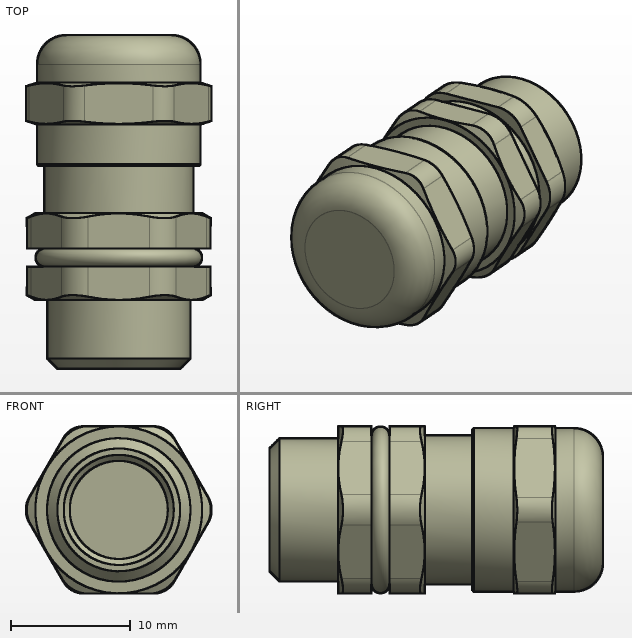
import cadquery as cq
import math

LENGTH = 27.9
THREAD_END = 5.75
LOCKNUT_END = 8.55
RING_END = 10.05
BODY_HEX_END = 13.0
CAP_START = 16.95
CAP_HEX_START = 20.43
CAP_HEX_END = 23.92

THREAD_DIAMETER = 12.0
THREAD_CHAMFER = 0.87
NECK_DIAMETER = 12.5
CAP_DIAMETER = 13.7
CAP_CHAMFER = 0.17
DOME_RADIUS = 2.45
RING_DIAMETER = 13.95
RECESS_DIAMETER = 9.2
RECESS_DEPTH = 0.5

ACROSS_FLATS = 14.0
NUT_CORNER_RADIUS = 2.57
NUT_FACE_DIAMETER = 13.95
NUT_BEVEL_ANGLE = 30.0
CAP_CORNER_RADIUS = 2.05
CAP_BEVEL_ANGLE = 18.0


def cylinder(diameter, start, end):
    """Solid cylinder on the Y axis between two stations."""
    profile = cq.Workplane("XZ", origin=(0, start, 0)).circle(diameter / 2)
    return profile.extrude(start - end)


def bevel_envelope(start, end, face_diameter, angle, bevel_start, bevel_end):
    """Turned blank whose conical ends trim the corners of a hexagon."""
    face_radius = face_diameter / 2
    outer_radius = ACROSS_FLATS / math.sqrt(3)
    drop = (outer_radius - face_radius) * math.tan(math.radians(angle))
    points = [(0, start)]
    if bevel_start:
        points += [(face_radius, start), (outer_radius, start + drop)]
    else:
        points.append((outer_radius, start))
    if bevel_end:
        points += [(outer_radius, end - drop), (face_radius, end)]
    else:
        points.append((outer_radius, end))
    points.append((0, end))
    return cq.Workplane("XY").polyline(points).close().revolve(360, (0, 0), (0, 1))


def hexagon(start, end, corner_radius, face_diameter, angle, bevel_start=False, bevel_end=False):
    """Hexagonal section with rounded corners and bevelled end faces."""
    across_corners = 2 * ACROSS_FLATS / math.sqrt(3)
    prism = (
        cq.Workplane("XZ", origin=(0, start, 0))
        .polygon(6, across_corners)
        .extrude(start - end)
        .edges("|Y")
        .fillet(corner_radius)
    )
    return prism.intersect(bevel_envelope(start, end, face_diameter, angle, bevel_start, bevel_end))


def sealing_ring():
    """Disc with a half-round rim filling the gap between the two lower hexagons."""
    rim_radius = (RING_END - LOCKNUT_END) / 2
    rim_centre = RING_DIAMETER / 2 - rim_radius
    return (
        cq.Workplane("XY")
        .moveTo(0, LOCKNUT_END)
        .lineTo(rim_centre, LOCKNUT_END)
        .threePointArc((RING_DIAMETER / 2, LOCKNUT_END + rim_radius), (rim_centre, RING_END))
        .lineTo(0, RING_END)
        .close()
        .revolve(360, (0, 0), (0, 1))
    )


def threaded_end():
    """Plain thread cylinder with a chamfered tip and a shallow 45-degree conical recess."""
    thread = cylinder(THREAD_DIAMETER, 0, THREAD_END).faces("<Y").chamfer(THREAD_CHAMFER)
    rim_radius = RECESS_DIAMETER / 2
    recess = (
        cq.Workplane("XY")
        .polyline([(0, 0), (rim_radius, 0), (rim_radius - RECESS_DEPTH, RECESS_DEPTH), (0, RECESS_DEPTH)])
        .close()
        .revolve(360, (0, 0), (0, 1))
    )
    return thread.cut(recess)


def cap():
    """Domed clamping cap with its own hexagon."""
    barrel = cylinder(CAP_DIAMETER, CAP_START, LENGTH)
    barrel = barrel.faces(">Y").edges().fillet(DOME_RADIUS)
    barrel = barrel.faces("<Y").edges().chamfer(CAP_CHAMFER)
    grip = hexagon(
        CAP_HEX_START, CAP_HEX_END, CAP_CORNER_RADIUS, CAP_DIAMETER, CAP_BEVEL_ANGLE,
        bevel_start=True, bevel_end=True,
    )
    return barrel.union(grip)


locknut = hexagon(
    THREAD_END, LOCKNUT_END, NUT_CORNER_RADIUS, NUT_FACE_DIAMETER, NUT_BEVEL_ANGLE, bevel_start=True
)
body_hex = hexagon(
    RING_END, BODY_HEX_END, NUT_CORNER_RADIUS, NUT_FACE_DIAMETER, NUT_BEVEL_ANGLE, bevel_end=True
)
neck = cylinder(NECK_DIAMETER, BODY_HEX_END, CAP_START)

result = threaded_end()
for section in (locknut, sealing_ring(), body_hex, neck, cap()):
    result = result.union(section)